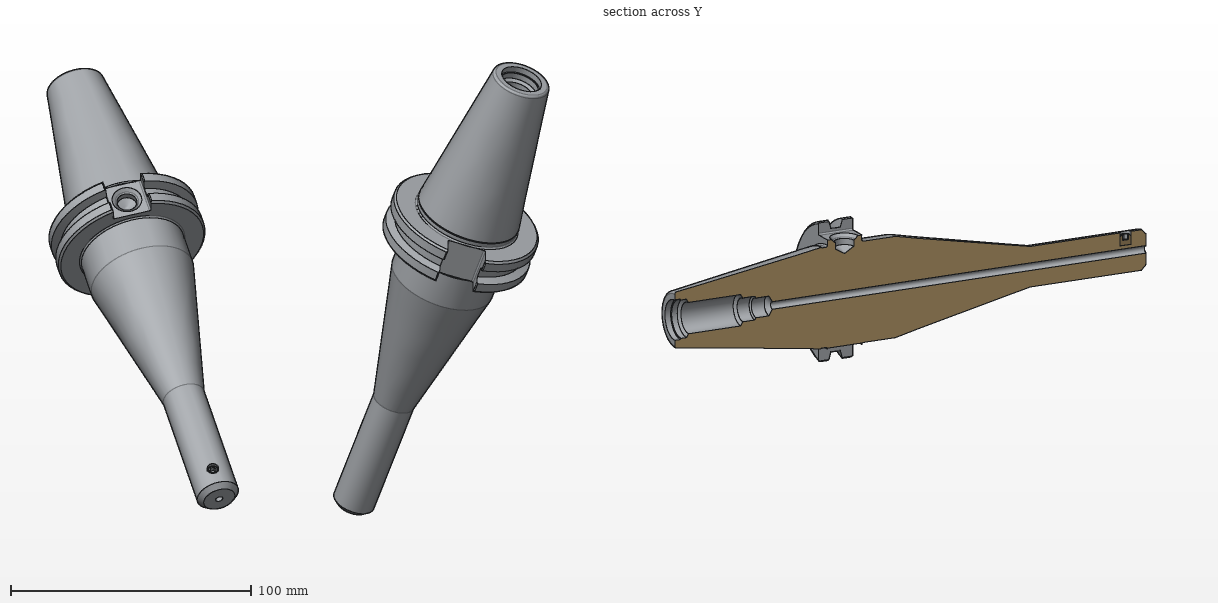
import cadquery as cq
import math

overall_length = 220.6
gauge_diameter = 44.4
gauge_x = 68.5
taper_ratio = 7 / 24
end_fillet = 1.0
relief_diameter = 44.0
relief_lead_length = 0.7

flange_diameter = 63.5
flange_start_x = 71.5
flange_width = 16.0
flange_chamfer = 0.9
flange_root_fillet = 0.7
root_box_margin = 0.1
groove_floor_diameter = 56.3
groove_mouth_width = 6.6
groove_floor_width = 4.5

slot_width = 16.3
upper_slot_height = 25.0
lower_slot_height = 22.3
slot_floor_fillet = 0.7
slot_edge_chamfer = 0.7

pocket_diameter = 9.7
pocket_bottom_diameter = 8.4
pocket_mouth_diameter = 12.4
pocket_depth = 4.5
drill_tip_angle = 118.0

collar_diameter = gauge_diameter
collar_end_x = 103.3
nose_diameter = 17.9
nose_start_x = 166.4
tip_chamfer = 2.2

mouth_diameter = 17.5
pilot_diameter = 16.5
thread_diameter = 13.5
relief_bore_diameter = 10.1
drill_diameter = 8.4
coolant_diameter = 3.0
mouth_depth = 2.6
pilot_depth = 5.5
thread_depth = 31.0
relief_bore_depth = 37.5
drill_depth = 44.1

screw_diameter = 4.9
screw_x = 211.0
screw_seat_z = 3.3
screw_length = 4.5
screw_chamfer = 0.55
socket_across_corners = 2.9
socket_depth = 2.2

flange_end_x = flange_start_x + flange_width
flange_middle_x = flange_start_x + flange_width / 2


def cone_height(large_diameter, small_diameter, included_angle):
    """Axial length of a cone between two diameters."""
    return (large_diameter - small_diameter) / 2 / math.tan(math.radians(included_angle / 2))


def revolve_about_x(points):
    """Solid of revolution about X from (x, radius) points."""
    return cq.Workplane("XY").polyline(points).close().revolve(360, (0, 0, 0), (1, 0, 0))


def flange_root(x, diameter):
    """Selector of the circular edge where a flange face meets the body."""
    reach = diameter / 2 + root_box_margin
    return cq.selectors.BoxSelector(
        (x - root_box_margin, -reach, -reach), (x + root_box_margin, reach, reach), boundingbox=True
    )


def outer_form():
    gauge_radius = gauge_diameter / 2
    small_end_radius = gauge_radius - gauge_x * taper_ratio / 2
    flange_radius = flange_diameter / 2
    floor_radius = groove_floor_diameter / 2
    nose_radius = nose_diameter / 2
    form = revolve_about_x([
        (0, 0),
        (0, small_end_radius),
        (gauge_x, gauge_radius),
        (gauge_x + relief_lead_length, relief_diameter / 2),
        (flange_start_x, relief_diameter / 2),
        (flange_start_x, flange_radius - flange_chamfer),
        (flange_start_x + flange_chamfer, flange_radius),
        (flange_middle_x - groove_mouth_width / 2, flange_radius),
        (flange_middle_x - groove_floor_width / 2, floor_radius),
        (flange_middle_x + groove_floor_width / 2, floor_radius),
        (flange_middle_x + groove_mouth_width / 2, flange_radius),
        (flange_end_x - flange_chamfer, flange_radius),
        (flange_end_x, flange_radius - flange_chamfer),
        (flange_end_x, collar_diameter / 2),
        (collar_end_x, collar_diameter / 2),
        (nose_start_x, nose_radius),
        (overall_length, nose_radius),
        (overall_length, 0),
    ])
    form = form.faces("<X").edges().fillet(end_fillet)
    form = form.edges(flange_root(flange_start_x, relief_diameter)).fillet(flange_root_fillet)
    form = form.edges(flange_root(flange_end_x, collar_diameter)).fillet(flange_root_fillet)
    return form.faces(">X").edges().chamfer(tip_chamfer)


def stepped_bore():
    mouth_cone = cone_height(mouth_diameter, pilot_diameter, drill_tip_angle)
    pilot_cone = cone_height(pilot_diameter, thread_diameter, drill_tip_angle)
    thread_cone = cone_height(thread_diameter, relief_bore_diameter, drill_tip_angle)
    relief_cone = cone_height(relief_bore_diameter, drill_diameter, drill_tip_angle)
    drill_cone = cone_height(drill_diameter, coolant_diameter, drill_tip_angle)
    return revolve_about_x([
        (0, 0),
        (0, mouth_diameter / 2),
        (mouth_depth, mouth_diameter / 2),
        (mouth_depth + mouth_cone, pilot_diameter / 2),
        (pilot_depth, pilot_diameter / 2),
        (pilot_depth + pilot_cone, thread_diameter / 2),
        (thread_depth, thread_diameter / 2),
        (thread_depth + thread_cone, relief_bore_diameter / 2),
        (relief_bore_depth, relief_bore_diameter / 2),
        (relief_bore_depth + relief_cone, drill_diameter / 2),
        (drill_depth, drill_diameter / 2),
        (drill_depth + drill_cone, coolant_diameter / 2),
        (overall_length, coolant_diameter / 2),
        (overall_length, 0),
    ])


def drive_slot(floor_height, side):
    """Cutter for a slot across the flange with chamfered outer edges; side is +1 (top) or -1."""
    half_width = slot_width / 2
    flange_radius = flange_diameter / 2
    edge_height = math.sqrt(flange_radius**2 - half_width**2)
    flare_base = edge_height - slot_edge_chamfer
    flare_rise = flange_radius - flare_base
    slot = (
        cq.Workplane("YZ", origin=(flange_start_x, 0, 0))
        .rect(slot_width, 2 * flange_radius)
        .extrude(flange_width)
        .translate((0, 0, floor_height + flange_radius))
        .edges("|X and <Z")
        .fillet(slot_floor_fillet)
    )
    flare = (
        cq.Workplane("YZ", origin=(flange_start_x, 0, 0))
        .polyline([
            (-half_width, flare_base),
            (half_width, flare_base),
            (half_width + flare_rise, flange_radius),
            (-half_width - flare_rise, flange_radius),
        ])
        .close()
        .extrude(flange_width)
    )
    cutter = slot.union(flare)
    if side < 0:
        cutter = cutter.mirror("XY")
    return cutter


def slot_pocket():
    pocket_radius = pocket_diameter / 2
    mouth_radius = pocket_mouth_diameter / 2
    countersink_depth = mouth_radius - pocket_radius
    step_height = cone_height(pocket_diameter, pocket_bottom_diameter, drill_tip_angle)
    tip_height = cone_height(pocket_bottom_diameter, 0, drill_tip_angle)
    profile = [
        (0, 0),
        (mouth_radius, 0),
        (pocket_radius, -countersink_depth),
        (pocket_bottom_diameter / 2, -countersink_depth - step_height),
        (pocket_bottom_diameter / 2, -pocket_depth),
        (0, -pocket_depth - tip_height),
    ]
    pocket = cq.Workplane("XZ").polyline(profile).close().revolve(360, (0, 0, 0), (0, 1, 0))
    return pocket.translate((flange_middle_x, 0, upper_slot_height))


def screw_hole():
    return (
        cq.Workplane("XY", origin=(screw_x, 0, screw_seat_z))
        .circle(screw_diameter / 2)
        .extrude(nose_diameter / 2)
    )


def make_holder():
    holder = outer_form().cut(stepped_bore())
    holder = holder.cut(drive_slot(upper_slot_height, 1))
    holder = holder.cut(drive_slot(lower_slot_height, -1))
    return holder.cut(slot_pocket()).cut(screw_hole())


def make_set_screw():
    screw = (
        cq.Workplane("XY", origin=(screw_x, 0, screw_seat_z))
        .circle(screw_diameter / 2)
        .extrude(screw_length)
        .faces(">Z")
        .chamfer(screw_chamfer)
    )
    socket = (
        cq.Workplane("XY")
        .polygon(6, socket_across_corners)
        .extrude(socket_depth)
        .rotate((0, 0, 0), (0, 0, 1), 90)
        .translate((screw_x, 0, screw_seat_z + screw_length - socket_depth))
    )
    return screw.cut(socket)


holder = make_holder()
set_screw = make_set_screw()
result = cq.Compound.makeCompound([holder.val(), set_screw.val()])